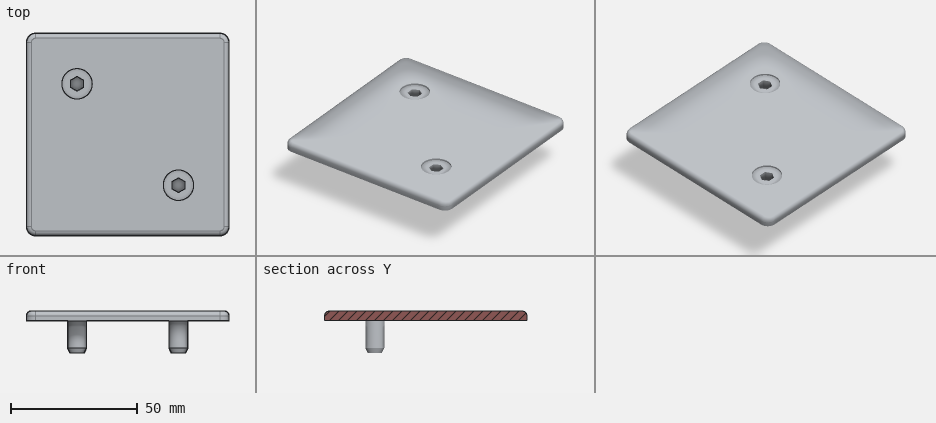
import cadquery as cq
import math

plate_side = 80.0
plate_thickness = 4.0
corner_radius = 3.7
top_edge_radius = 2.0

screw_offset = plate_side / 4
screw_positions = [(-screw_offset, screw_offset), (screw_offset, -screw_offset)]
recess_diameter = 12.0
recess_depth = 0.7
screw_length = 16.0
shank_diameter = 7.5
tip_diameter = 5.6
tip_length = 2.0
hex_across_flats = 5.0
hex_depth = 4.0

head_top = plate_thickness - recess_depth
tip_bottom = head_top - screw_length


def make_plate():
    """Square plate with rounded corners and a rounded top edge."""
    return (
        cq.Workplane("XY")
        .rect(plate_side, plate_side)
        .extrude(plate_thickness)
        .edges("|Z")
        .fillet(corner_radius)
        .faces(">Z")
        .edges()
        .fillet(top_edge_radius)
    )


def make_shank(x, y):
    """Screw shank with a conical tip, from the screw's tip up to its head."""
    shank_radius = shank_diameter / 2
    tip_radius = tip_diameter / 2
    profile = (
        cq.Workplane("XZ")
        .moveTo(0, tip_bottom)
        .lineTo(tip_radius, tip_bottom)
        .lineTo(shank_radius, tip_bottom + tip_length)
        .lineTo(shank_radius, head_top)
        .lineTo(0, head_top)
        .close()
    )
    return profile.revolve(360, (0, 0), (0, 1)).translate((x, y, 0))


def make_recess(x, y):
    """Shallow round recess above the screw head."""
    return (
        cq.Workplane("XY", origin=(x, y, head_top))
        .circle(recess_diameter / 2)
        .extrude(recess_depth)
    )


def make_hex_socket(x, y):
    """Hexagonal key socket sunk into the screw head, corners along Y."""
    across_corners = hex_across_flats / math.cos(math.pi / 6)
    return (
        cq.Workplane("XY")
        .polygon(6, across_corners)
        .extrude(-hex_depth)
        .rotate((0, 0, 0), (0, 0, 1), 90)
        .translate((x, y, head_top))
    )


result = make_plate()
for screw_x, screw_y in screw_positions:
    result = result.union(make_shank(screw_x, screw_y))
    result = result.cut(make_recess(screw_x, screw_y))
    result = result.cut(make_hex_socket(screw_x, screw_y))